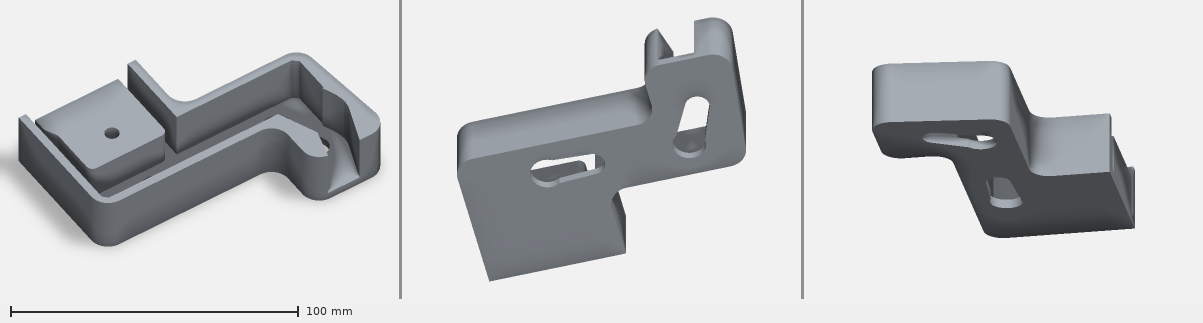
import math

import cadquery as cq

length_x = 75.0
length_y = 104.13
height = 22.27
floor_thickness = 3.2
corner_radius = 7.0

foot_top = 49.0
stem_left = 27.1
stem_right = 52.1
head_bottom = 73.0
head_left_arc_y = 93.3

side_wall = 3.4
right_wall = 3.15
bottom_wall = 3.0
cavity_top = 95.8
cavity_chamfer = 1.8
cavity_upper_chamfer_y = 2.2

bulge_start = (47.35, 95.2)
bulge_arc_start = (51.15, 96.85)
bulge_apex = (56.8, 98.2)
bulge_arc_end = (61.6, 97.15)
bulge_sagitta = 0.22
mouth_upper_y = 92.2
lip_start_y = 75.6
lip_peak = (63.75, 82.1)
mouth_lower_y = 79.05

block_right = 30.8
block_top_y = 41.65
block_bottom_y = 9.3
block_step_y = 6.8
step_ramp_start_x = 5.5
step_ramp_end_x = 10.7
block_corner_radius = 2.5
block_height = 16.95
pin_hole_diameter = 5.33
pin_hole_center = (20.15, 25.45)

keyhole_x = 39.7
keyhole_head_radius = 5.88
keyhole_neck_root_radius = 5.2
keyhole_tip_radius = 4.3
keyhole_length = 16.3
keyholes = [
    ((keyhole_x, 30.75), 90.0),
    ((keyhole_x, 81.6), 24.0),
]


def make_body():
    """Extrude the outer outline, with every corner except the two at the open end rounded."""
    left_center = (stem_left + corner_radius, head_left_arc_y)
    right_center = (length_x - corner_radius, length_y - corner_radius)
    rise = right_center[1] - left_center[1]
    slope = math.atan2(rise, right_center[0] - left_center[0])
    edge_offset = corner_radius / math.cos(slope)

    def top_edge_y(x):
        return left_center[1] + edge_offset + (x - left_center[0]) * math.tan(slope)

    return (
        cq.Workplane("XY")
        .polyline([
            (0, 0),
            (stem_right, 0),
            (stem_right, head_bottom),
            (length_x, head_bottom),
            (length_x, top_edge_y(length_x)),
            (stem_left, top_edge_y(stem_left)),
            (stem_left, foot_top),
            (0, foot_top),
        ])
        .close()
        .extrude(height)
        .edges("|Z")
        .edges("not <X")
        .fillet(corner_radius)
    )


def make_cavity():
    """Open-topped cavity running from the open end of the foot to the mouth in the head."""
    left = stem_left + side_wall
    right = stem_right - right_wall
    return (
        cq.Workplane("XY", origin=(0, 0, floor_thickness))
        .moveTo(0, bottom_wall)
        .lineTo(right - cavity_chamfer, bottom_wall)
        .lineTo(right, bottom_wall + cavity_chamfer)
        .lineTo(right, lip_start_y)
        .lineTo(*lip_peak)
        .lineTo(length_x, mouth_lower_y)
        .lineTo(length_x, mouth_upper_y)
        .lineTo(*bulge_arc_end)
        .sagittaArc(bulge_apex, -bulge_sagitta)
        .sagittaArc(bulge_arc_start, -bulge_sagitta)
        .lineTo(*bulge_start)
        .lineTo(bulge_start[0], cavity_top)
        .lineTo(left + cavity_chamfer, cavity_top)
        .lineTo(left, cavity_top - cavity_upper_chamfer_y)
        .lineTo(left, foot_top - side_wall)
        .lineTo(0, foot_top - side_wall)
        .close()
        .extrude(height - floor_thickness)
    )


def make_block():
    """Raised block at the open end of the foot, with a blind pin hole down to floor level."""
    block = (
        cq.Workplane("XY")
        .polyline([
            (0, block_step_y),
            (step_ramp_start_x, block_step_y),
            (step_ramp_end_x, block_bottom_y),
            (block_right, block_bottom_y),
            (block_right, block_top_y),
            (0, block_top_y),
        ])
        .close()
        .extrude(block_height)
        .edges("|Z and >X")
        .fillet(block_corner_radius)
    )
    pin_hole = (
        cq.Workplane("XY", origin=(0, 0, floor_thickness))
        .center(*pin_hole_center)
        .circle(pin_hole_diameter / 2)
        .extrude(block_height - floor_thickness)
    )
    return block.cut(pin_hole)


def make_keyhole(center, angle):
    """Cutter for a keyhole: round head and a tapering, round-ended neck pointing along angle."""
    taper = math.asin((keyhole_neck_root_radius - keyhole_tip_radius) / keyhole_length)
    root_x = keyhole_neck_root_radius * math.sin(taper)
    root_y = keyhole_neck_root_radius * math.cos(taper)
    tip_x = keyhole_length + keyhole_tip_radius * math.sin(taper)
    tip_y = keyhole_tip_radius * math.cos(taper)
    neck = (
        cq.Workplane("XY")
        .moveTo(root_x, -root_y)
        .lineTo(tip_x, -tip_y)
        .threePointArc((keyhole_length + keyhole_tip_radius, 0), (tip_x, tip_y))
        .lineTo(root_x, root_y)
        .close()
        .extrude(floor_thickness)
    )
    head = cq.Workplane("XY").circle(keyhole_head_radius).extrude(floor_thickness)
    return head.union(neck).rotate((0, 0, 0), (0, 0, 1), angle).translate((*center, 0))


result = make_body().cut(make_cavity()).union(make_block())
for keyhole_center, keyhole_angle in keyholes:
    result = result.cut(make_keyhole(keyhole_center, keyhole_angle))